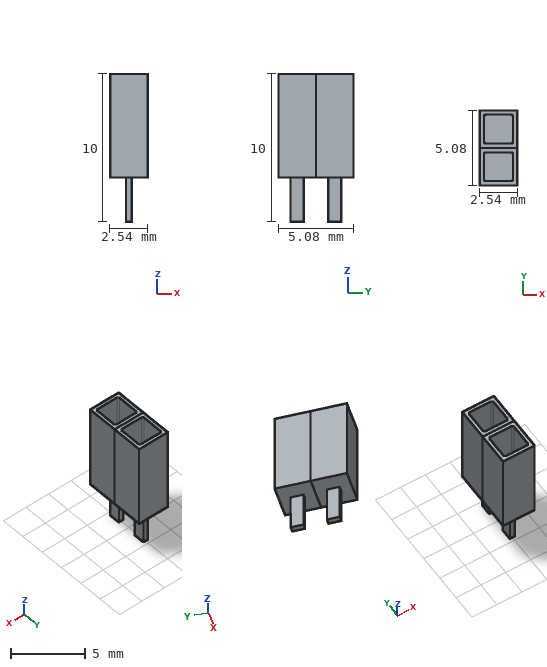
import cadquery as cq

pitch = 2.54
socket_count = 2

housing_side = pitch
housing_height = 7.0
pocket_side = 1.95
wall = (housing_side - pocket_side) / 2
floor_thickness = wall
pocket_depth = housing_height - floor_thickness
pocket_corner_radius = 0.13

pin_thickness = 0.4
pin_width = 0.9
pin_length = 3.0


def make_housing(y_center):
    """Square box with a round-cornered blind pocket opening upward."""
    box = (
        cq.Workplane("XY")
        .center(0, y_center)
        .rect(housing_side, housing_side)
        .extrude(housing_height)
    )
    pocket = (
        cq.Workplane("XY", origin=(0, y_center, floor_thickness))
        .rect(pocket_side, pocket_side)
        .extrude(pocket_depth)
        .edges("|Z")
        .fillet(pocket_corner_radius)
    )
    return box.cut(pocket)


def make_pin(y_center):
    """Rectangular blade whose top face touches the housing underside."""
    return (
        cq.Workplane("XY")
        .center(0, y_center)
        .rect(pin_thickness, pin_width)
        .extrude(-pin_length)
    )


bodies = []
for index in range(socket_count):
    socket_y = (index - (socket_count - 1) / 2) * pitch
    bodies.append(make_housing(socket_y).val())
    bodies.append(make_pin(socket_y).val())

result = cq.Compound.makeCompound(bodies)